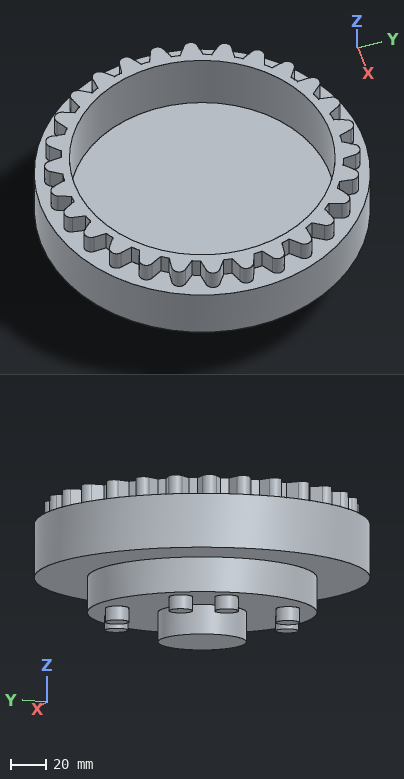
import cadquery as cq
import math

hub_drop = 17.0
step_height = 20.0
rim_height = 31.0
gear_height = 12.0
pin_length = 8.0
cavity_depth = 35.0

step_bottom = hub_drop
rim_bottom = step_bottom + step_height
gear_bottom = rim_bottom + rim_height
top = gear_bottom + gear_height

rim_diameter = 190.0
step_diameter = 130.0
hub_diameter = 50.2
cavity_diameter = 150.1

tooth_count = 28
gear_tip_radius = 89.3
gear_root_radius = 79.8
tooth_tip_rounding = 4.2
flank_angle = 20.0
first_tooth_angle = -78.0
tooth_pitch_angle = 12.88

pin_diameter = 13.3
pin_circle_radius = 50.0
pin_pair_count = 4
pin_pair_angle = 30.0


def disk(diameter, bottom, height):
    return cq.Workplane("XY").workplane(offset=bottom).circle(diameter / 2).extrude(height)


def polar_point(radius, degrees):
    angle = math.radians(degrees)
    return radius * math.cos(angle), radius * math.sin(angle)


def tooth_blank():
    """One tooth pointing along +X, with its foot sunk into the root cylinder."""
    flank = math.radians(flank_angle)
    tip_centre = gear_tip_radius - tooth_tip_rounding
    tangent_x = tip_centre + tooth_tip_rounding * math.sin(flank)
    tangent_y = tooth_tip_rounding * math.cos(flank)
    foot_x = (gear_root_radius + cavity_diameter / 2) / 2
    foot_y = tangent_y + (tangent_x - foot_x) * math.tan(flank)
    return (
        cq.Workplane("XY").workplane(offset=gear_bottom)
        .moveTo(foot_x, -foot_y)
        .lineTo(tangent_x, -tangent_y)
        .threePointArc((gear_tip_radius, 0), (tangent_x, tangent_y))
        .lineTo(foot_x, foot_y)
        .close()
        .extrude(gear_height)
    )


def gear():
    blank = disk(2 * gear_root_radius, gear_bottom, gear_height)
    tooth = tooth_blank()
    for index in range(tooth_count):
        turn = first_tooth_angle + index * tooth_pitch_angle
        blank = blank.union(tooth.rotate((0, 0, 0), (0, 0, 1), turn))
    return blank


def pins():
    centres = []
    for pair in range(pin_pair_count):
        axis_angle = pair * 360 / pin_pair_count
        centres.append(polar_point(pin_circle_radius, axis_angle))
        centres.append(polar_point(pin_circle_radius, axis_angle - pin_pair_angle))
    return (
        cq.Workplane("XY").workplane(offset=step_bottom - pin_length)
        .pushPoints(centres)
        .circle(pin_diameter / 2)
        .extrude(pin_length)
    )


hub = disk(hub_diameter, 0, hub_drop)
step = disk(step_diameter, step_bottom, step_height)
rim = disk(rim_diameter, rim_bottom, rim_height)
cavity = disk(cavity_diameter, top - cavity_depth, cavity_depth)

result = hub.union(step).union(rim).union(pins()).union(gear()).cut(cavity)